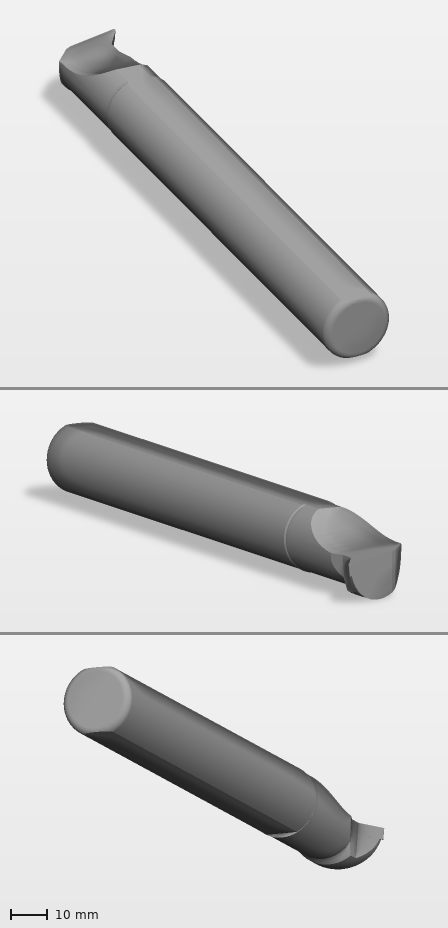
import cadquery as cq
import math

total_length = 170.0
tip_reach = 13.0
rake_tilt = 5.0

shank_radius = 10.0
flat_height = 9.0
shank_start = 40.5
shank_end_fillet = 2.0

neck_radius = 9.75
neck_drop = 0.15
neck_step = 0.5
head_radius = 11.25
head_offset = head_radius - shank_radius
head_cylinder_end = 10.6
head_end = 12.0

scoop_start = 13.4
scoop_radius = 28.0
face_height = tip_reach * math.sin(math.radians(rake_tilt))

lead_angle = 17.0
back_angle = 35.0
nose_radius = 0.4
insert_front_length = 11.2
insert_back_length = 10.4
insert_thickness = 3.2
front_clearance = 5.0

corner_facet_angle = 60.0
corner_facet_point = (5.74, -4.8)
side_facet_angle = 42.5

relief_y = 8.3
relief_end = 11.7
relief_ramp_angle = 20.0

margin = 60.0


def direction(angle):
    """Unit vector in the XY plane, turned clockwise from +X by the angle in degrees."""
    return cq.Vector(math.cos(math.radians(angle)), -math.sin(math.radians(angle)), 0)


def tilted(body):
    """Turn a body from the frame of the cutting face into the frame of the bar."""
    return body.rotate((0, 0, 0), (1, 0, 0), -rake_tilt)


def outer_half_space(point, edge, clearance):
    """Block outside a wall that runs along `edge`, leaning inward below the cutting face."""
    lean = math.radians(clearance)
    outward = cq.Vector(edge.y, -edge.x, 0) * math.cos(lean) + cq.Vector(0, 0, -math.sin(lean))
    plane = cq.Plane(origin=(point.x, point.y, face_height), xDir=edge.toTuple(), normal=outward.toTuple())
    return tilted(cq.Workplane(plane).rect(margin, margin).extrude(margin))


front_edge = direction(90 - lead_angle)
back_edge = direction(back_angle)


def sharp_tip():
    """Corner of the two cutting edges that are both tangent to the nose circle."""
    front_normal = cq.Vector(front_edge.y, -front_edge.x, 0)
    back_normal = cq.Vector(-back_edge.y, back_edge.x, 0)
    nose_center = cq.Vector(nose_radius, tip_reach * math.cos(math.radians(rake_tilt)) - nose_radius, 0)
    bisector = front_normal + back_normal
    return nose_center + bisector * (nose_radius / (1 + front_normal.dot(back_normal)))


tip = sharp_tip()


def make_shank():
    shank = (
        cq.Workplane("YZ", origin=(shank_start, 0, 0))
        .circle(shank_radius)
        .extrude(total_length - shank_start)
        .faces(">X").edges().fillet(shank_end_fillet)
    )
    slab = cq.Workplane("XY").box(2 * total_length, margin, 2 * flat_height)
    return shank.intersect(slab)


def make_neck():
    neck_end = shank_start - neck_step
    neck = (
        cq.Workplane("XY")
        .moveTo(0, 0)
        .lineTo(0, neck_radius)
        .lineTo(neck_end, neck_radius)
        .lineTo(shank_start, shank_radius)
        .lineTo(shank_start, 0)
        .close()
        .revolve(360, (0, 0, 0), (1, 0, 0))
        .translate((0, 0, -neck_drop))
    )
    above_flat = (
        cq.Workplane("XY", origin=(0, 0, flat_height)).rect(2 * total_length, margin).extrude(margin)
    )
    return neck.cut(above_flat)


def make_head():
    """Cylinder set off toward the tip, closing onto the neck in a short slanted cone."""
    cylinder = (
        cq.Workplane("YZ").center(head_offset, 0).circle(head_radius).extrude(head_cylinder_end)
    )
    cone = (
        cq.Workplane("YZ", origin=(head_cylinder_end, 0, 0))
        .center(head_offset, 0)
        .circle(head_radius)
        .workplane(offset=head_end - head_cylinder_end)
        .center(-head_offset, -neck_drop)
        .circle(neck_radius)
        .loft(ruled=True)
    )
    return cylinder.union(cone)


def scoop_cutter():
    """Flat cutting face running into a round rise toward the shank."""
    profile = (
        cq.Workplane("XZ")
        .moveTo(-margin, face_height)
        .lineTo(scoop_start, face_height)
        .radiusArc((scoop_start + scoop_radius, face_height + scoop_radius), -scoop_radius)
        .lineTo(-margin, face_height + scoop_radius)
        .close()
    )
    return tilted(profile.extrude(margin, both=True))


def relief_cutter():
    """Space behind the trailing edge of the insert, ramping back out to the neck."""
    relief_start = tip.x + (tip.y - relief_y) / math.tan(math.radians(back_angle))
    ramp_y = 2 * tip_reach
    ramp_x = relief_end + (ramp_y - relief_y) / math.tan(math.radians(relief_ramp_angle))
    outline = (
        cq.Workplane("XY", origin=(0, 0, -margin))
        .moveTo(tip.x, tip.y)
        .lineTo(relief_start, relief_y)
        .lineTo(relief_end, relief_y)
        .lineTo(ramp_x, ramp_y)
        .lineTo(tip.x, ramp_y)
        .close()
    )
    return tilted(outline.extrude(2 * margin))


def front_wall_cutter():
    return outer_half_space(tip, front_edge, front_clearance)


def insert_blank():
    """Four-cornered plate level with the cutting face, with a sharp tip."""
    corners = [
        tip,
        tip + front_edge * insert_front_length,
        tip + front_edge * insert_front_length + back_edge * insert_back_length,
        tip + back_edge * insert_back_length,
    ]
    return (
        cq.Workplane("XY", origin=(0, 0, face_height))
        .polyline([(corner.x, corner.y) for corner in corners])
        .close()
        .extrude(-insert_thickness)
    )


def make_insert():
    rounded = insert_blank().edges("|Z").edges("<X").fillet(nose_radius)
    return tilted(rounded).cut(front_wall_cutter())


def make_bar():
    corner_point = cq.Vector(*corner_facet_point, 0)
    bar = make_shank().union(make_neck()).union(make_head())
    bar = bar.cut(scoop_cutter()).cut(relief_cutter()).cut(front_wall_cutter())
    for facet_angle in (corner_facet_angle, side_facet_angle):
        bar = bar.cut(outer_half_space(corner_point, direction(facet_angle), front_clearance))
    return bar.cut(tilted(insert_blank()))


insert = make_insert()
bar = make_bar()

result = cq.Compound.makeCompound([bar.val(), insert.val()])